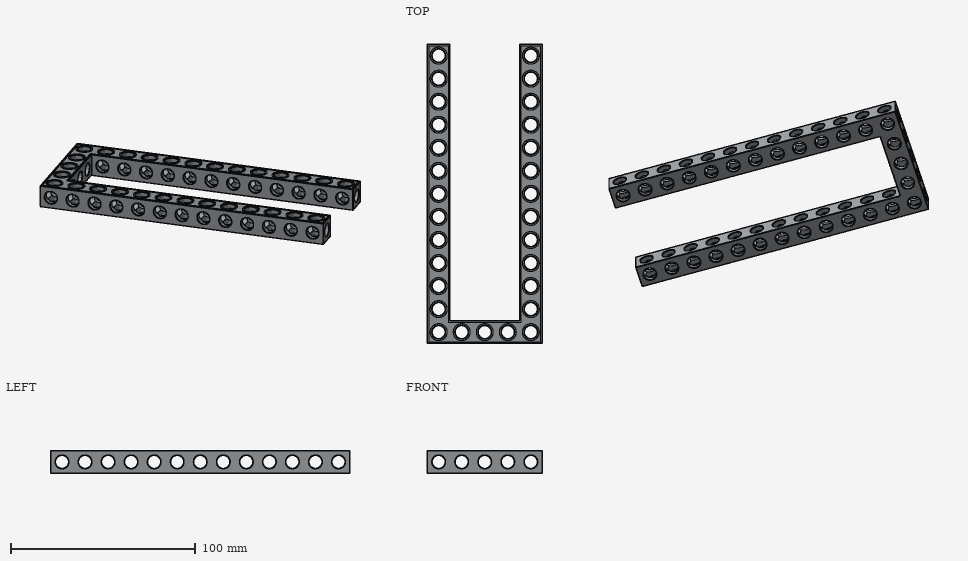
import cadquery as cq

pitch = 12.5
holes_across = 5
holes_along = 13
width = holes_across * pitch
length = holes_along * pitch
height = pitch

edge_chamfer = 0.3

hole_diameter = 7.0
collar_diameter = 9.2
rim_width = 1.0
recess_depth = 0.2

hole_radius = hole_diameter / 2
collar_radius = collar_diameter / 2
column_positions = [(i - (holes_across - 1) / 2) * pitch for i in range(holes_across)]
row_positions = [(i - (holes_along - 1) / 2) * pitch for i in range(holes_along)]
leg_columns = (column_positions[0], column_positions[-1])
base_row = row_positions[0]


def u_prism(inset, bottom, depth):
    """U-shaped prism whose outline lies `inset` inside the outline of the frame."""
    outer_x = width / 2 - inset
    inner_x = width / 2 - pitch + inset
    front_y = -length / 2 + inset
    back_y = length / 2 - inset
    base_back_y = -length / 2 + pitch - inset
    outline = [
        (-outer_x, front_y),
        (outer_x, front_y),
        (outer_x, back_y),
        (inner_x, back_y),
        (inner_x, base_back_y),
        (-inner_x, base_back_y),
        (-inner_x, back_y),
        (-outer_x, back_y),
    ]
    return cq.Workplane("XY").workplane(offset=bottom).polyline(outline).close().extrude(depth)


def vertical_hole_centers():
    """Centers of the holes along Z: every row of both legs, then the rest of the base."""
    legs = [(x, y) for x in leg_columns for y in row_positions]
    base = [(x, base_row) for x in column_positions[1:-1]]
    return legs + base


def top_recess():
    """Shallow pocket inside the rim, leaving a collar around each vertical hole."""
    floor = height / 2 - recess_depth
    collars = (
        cq.Workplane("XY")
        .workplane(offset=floor)
        .pushPoints(vertical_hole_centers())
        .circle(collar_radius)
        .extrude(recess_depth)
    )
    return u_prism(rim_width, floor, recess_depth).cut(collars)


def drill(start, direction, depth):
    """Hole of the given depth along `direction`, flared at both ends by the mouth chamfer."""
    start = cq.Vector(*start)
    direction = cq.Vector(*direction)
    end = start + direction * depth
    mouth_radius = hole_radius + edge_chamfer
    bore = cq.Solid.makeCylinder(hole_radius, depth, start, direction)
    near_mouth = cq.Solid.makeCone(mouth_radius, hole_radius, edge_chamfer, start, direction)
    far_mouth = cq.Solid.makeCone(mouth_radius, hole_radius, edge_chamfer, end, direction * -1)
    return [bore, near_mouth, far_mouth]


def vertical_holes():
    """Holes along Z through the legs and the base."""
    cutters = []
    for x, y in vertical_hole_centers():
        cutters += drill((x, y, -height / 2), (0, 0, 1), height)
    return cutters


def cross_holes():
    """Holes along X: one per row through each leg, and one along the whole base."""
    cutters = drill((-width / 2, base_row, 0), (1, 0, 0), width)
    for y in row_positions[1:]:
        for x in leg_columns:
            cutters += drill((x - pitch / 2, y, 0), (1, 0, 0), pitch)
    return cutters


def lengthwise_holes():
    """Holes along Y: the full length of each leg, and through the base between the legs."""
    cutters = []
    for x in column_positions:
        depth = length if x in leg_columns else pitch
        cutters += drill((x, -length / 2, 0), (0, 1, 0), depth)
    return cutters


frame = u_prism(0, -height / 2, height).edges().chamfer(edge_chamfer)
frame = frame.cut(top_recess())
all_holes = vertical_holes() + cross_holes() + lengthwise_holes()
result = cq.Workplane("XY").newObject([frame.val().cut(*all_holes)])